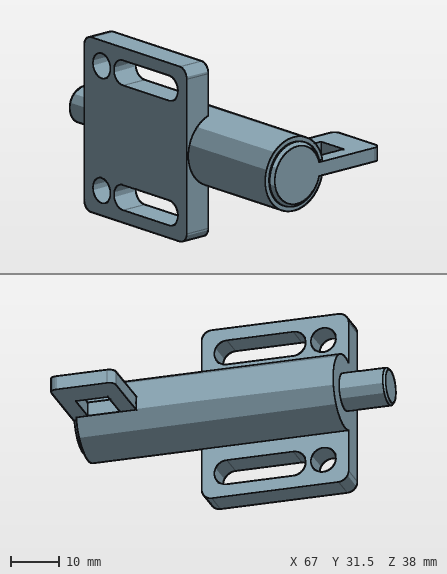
import cadquery as cq

overall_length = 67.0

barrel_diameter = 16.0
barrel_start = 10.0
barrel_end = 66.0
plate_length = 32.0
plate_height = 38.0
plate_thickness = 6.0
plate_front_y = -8.45
plate_corner_radius = 2.2

hole_diameter = 5.4
hole_from_plate_start = 5.5
slot_length = 19.9
slot_from_plate_start = 19.3
opening_height = 13.55

rod_diameter = 8.0
nose_chamfer = 0.5
cap_diameter = 13.95
cap_chamfer = 0.75
tab_width = 14.1
tab_thickness = 3.0
tab_tip_y = 23.05
tab_corner_radius = 1.5
window_width = 7.05
tab_tip_margin = 7.05

tab_start = overall_length - tab_width
tab_center_x = overall_length - tab_width / 2
barrel_radius = barrel_diameter / 2


def x_cylinder(diameter, start, end):
    """Cylinder on the bolt axis between two X positions."""
    return cq.Workplane("YZ", origin=(start, 0, 0)).circle(diameter / 2).extrude(end - start)


def make_plate():
    """Rounded mounting plate with its holes and slots."""
    plate = cq.Workplane("XY").box(
        plate_length, plate_thickness, plate_height, centered=(False, False, True)
    )
    plate = plate.translate((barrel_start, plate_front_y, 0))
    plate = plate.edges("|Y").fillet(plate_corner_radius)
    openings = cq.Workplane("XZ", origin=(barrel_start, plate_front_y, 0))
    rows = (-opening_height, opening_height)
    holes = (
        openings.pushPoints([(hole_from_plate_start, z) for z in rows])
        .circle(hole_diameter / 2)
        .extrude(-plate_thickness)
    )
    slots = (
        openings.pushPoints([(slot_from_plate_start, z) for z in rows])
        .slot2D(slot_length, hole_diameter)
        .extrude(-plate_thickness)
    )
    return plate.cut(holes).cut(slots)


def make_tab_blank():
    """Flat tab reaching from the bolt axis out through the barrel wall."""
    blank = cq.Workplane("XY").box(
        tab_width, tab_tip_y, tab_thickness, centered=(False, False, True)
    )
    return blank.translate((tab_start, 0, 0)).edges("|Z and >Y").fillet(tab_corner_radius)


def make_tab():
    """Pull tab with a window between the barrel surface and the tip margin."""
    window_length = tab_tip_y - tab_tip_margin - barrel_radius
    window = (
        cq.Workplane("XY")
        .box(window_width, window_length, tab_thickness, centered=(True, False, True))
        .translate((tab_center_x, barrel_radius, 0))
    )
    return make_tab_blank().cut(window)


def make_housing():
    """Barrel and plate, bored for the rod and slotted for the tab."""
    body = x_cylinder(barrel_diameter, barrel_start, barrel_end).union(make_plate())
    bore = x_cylinder(rod_diameter, barrel_start, barrel_end)
    return body.cut(bore).cut(make_tab_blank())


def make_bolt():
    """Chamfered rod with its end cap and pull tab."""
    rod = x_cylinder(rod_diameter, 0, overall_length).faces("<X").chamfer(nose_chamfer)
    cap = x_cylinder(cap_diameter, barrel_end, overall_length).faces(">X").edges().chamfer(cap_chamfer)
    return rod.union(cap).union(make_tab())


housing = make_housing()
bolt = make_bolt()
result = cq.Compound.makeCompound([housing.val(), bolt.val()])